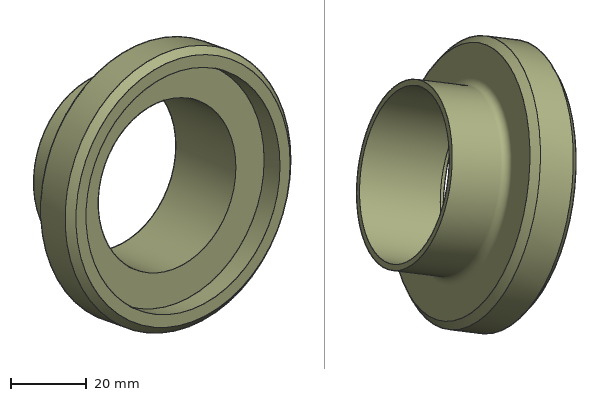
import cadquery as cq

total_length = 31.0
flange_diameter = 78.0
flange_thickness = 14.05
sleeve_diameter = 50.8
bore_diameter = 47.5
recess_diameter = 67.0
recess_depth = 6.5
edge_chamfer = 2.0
root_fillet = 2.0

sleeve_end = -total_length / 2
flange_back = total_length / 2
flange_front = flange_back - flange_thickness


def cylinder(diameter, start, end):
    """Solid cylinder along X between two positions."""
    return cq.Workplane("YZ", origin=(start, 0, 0)).circle(diameter / 2).extrude(end - start)


flange = cylinder(flange_diameter, flange_front, flange_back).edges().chamfer(edge_chamfer)

sleeve = cylinder(sleeve_diameter, sleeve_end, flange_back)
body = flange.union(sleeve)
root_edges = body.faces("<X[1]").edges(cq.selectors.RadiusNthSelector(0))
body = root_edges.fillet(root_fillet)

bore = cylinder(bore_diameter, sleeve_end, flange_back)
recess = cylinder(recess_diameter, flange_back - recess_depth, flange_back)
result = body.cut(bore).cut(recess)